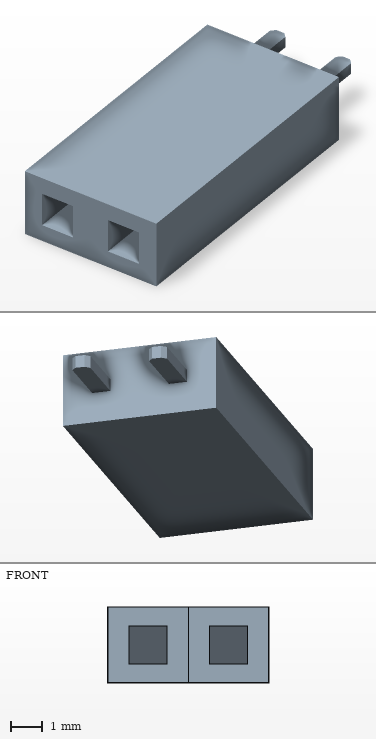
import cadquery as cq

PITCH = 2.54
SOCKET_COUNT = 2

HOUSING_LENGTH = 10.0
HOUSING_HEIGHT = 2.4

OPENING_SIZE = 1.2
OPENING_DEPTH = 6.0

PIN_LENGTH = 2.2
PIN_WIDTH = 0.6
PIN_THICKNESS = 0.4
TIP_CHAMFER = 0.15


def make_block(width, length, height, start_y):
    """Box centred on the Y axis, running from start_y towards +Y."""
    return (
        cq.Workplane("XY")
        .box(width, length, height, centered=(True, False, True))
        .translate((0, start_y, 0))
    )


def make_pin():
    """Flat pin whose two upright tip edges are chamfered."""
    pin = make_block(PIN_WIDTH, PIN_LENGTH, PIN_THICKNESS, HOUSING_LENGTH)
    return pin.faces(">Y").edges("|Z").chamfer(TIP_CHAMFER)


def make_socket(center_x):
    """One socket: housing with its opening and its pin, as a single solid."""
    housing = make_block(PITCH, HOUSING_LENGTH, HOUSING_HEIGHT, 0)
    opening = make_block(OPENING_SIZE, OPENING_DEPTH, OPENING_SIZE, 0)
    socket = housing.cut(opening).union(make_pin())
    return socket.translate((center_x, 0, 0))


first_center_x = -PITCH * (SOCKET_COUNT - 1) / 2
sockets = [make_socket(first_center_x + index * PITCH) for index in range(SOCKET_COUNT)]

result = cq.Compound.makeCompound([socket.val() for socket in sockets])